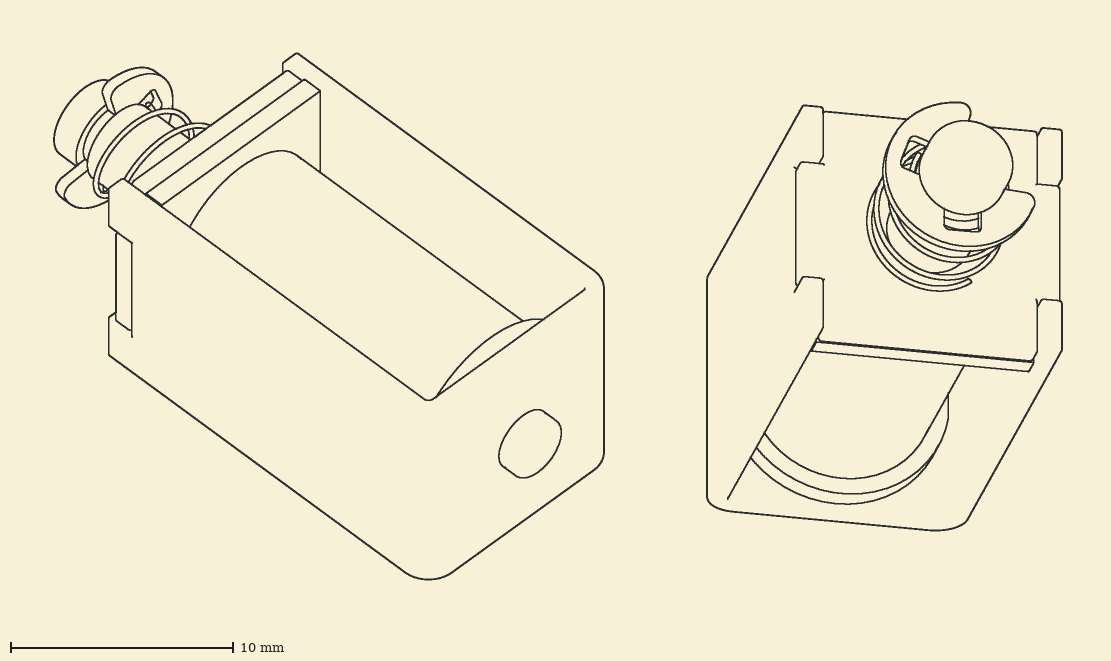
import cadquery as cq
import math


overall_length = 29.0
frame_width = 12.0
frame_height = 11.0
wall = 1.0
edge_radius = 0.15
clearance = 0.05

frame_front = 7.5
core_protrusion = 1.0
frame_rear = overall_length - core_protrusion
frame_inner_rear = frame_rear - wall
frame_inner_width = frame_width - 2 * wall
inner_bend_radius = 0.25
outer_bend_radius = 1.5

plate_front = 8.0
plate_rear = 9.0
plate_front_edge_radius = 0.1
plate_side_edge_radius = 0.17
tab_height = 5.8
slot_height = tab_height + 2 * clearance

front_flange_rear = 10.0
rear_flange_front = 25.9
rear_flange_radius = frame_inner_width / 2
rear_flange_width = frame_inner_width - 2 * clearance
tube_radius = 2.5
coil_radius = 4.25

plunger_radius = 2.0
plunger_rear = 17.98
plunger_tip_radius = 0.12
groove_front = 1.48
groove_rear = 2.2
groove_radius = 1.55
core_neck_radius = 1.55
core_edge_radius = 0.17

clip_front = 1.55
clip_thickness = 0.55
clip_radius = 3.55
clip_opening_direction = 35.5
clip_half_opening = 40.0
clip_opening_apex = 0.58
clip_tip_radius = 0.45
clip_lug_radius = 0.2
notch_width = 1.7
notch_reach = 2.78
notch_corner_radius = 0.25
notch_angle_from_opening = 125.0

wire_radius = 0.12
spring_first_quarter = -0.35
spring_last_quarter = 13.4
spring_origin = 2.35
spring_small_radius = 2.15
spring_large_radius = 2.95
taper_quarters = 5.8
steepest_quarter = 4.5
steepest_advance = 0.45
advance_loss = 0.0035
points_per_quarter = 4


def rod(start, end, radius):
    """Cylinder on the X axis."""
    return cq.Workplane("YZ", origin=(start, 0, 0)).circle(radius).extrude(end - start)


def block(start, end, width, height):
    """Box centred on the X axis."""
    return cq.Workplane("YZ", origin=(start, 0, 0)).rect(width, height).extrude(end - start)


def make_frame():
    """U-shaped strap with a slot in each leg for the front plate and a rear hole for the core."""
    outer = block(frame_front, frame_rear, frame_width, frame_height)
    outer = outer.edges("|Z and >X").fillet(outer_bend_radius)
    inner = block(frame_front, frame_inner_rear, frame_inner_width, frame_height)
    inner = inner.edges("|Z and >X").fillet(inner_bend_radius)
    slots = block(frame_front, plate_rear, frame_width, slot_height)
    strap = outer.cut(inner).cut(slots)

    leg_end_edges = strap.faces("<X").edges()
    rim_edges = strap.faces("<Z or >Z").edges()
    slot_side_edges = strap.edges("|X").filter(
        lambda edge: abs(abs(edge.Center().z) - slot_height / 2) < clearance
    )
    slot_floor_edges = strap.edges("|Z").filter(
        lambda edge: abs(edge.Center().x - plate_rear) < clearance
    )
    rounded = leg_end_edges.add(rim_edges).add(slot_side_edges).add(slot_floor_edges)
    strap = rounded.fillet(edge_radius)
    return strap.cut(rod(frame_inner_rear, frame_rear, core_neck_radius))


def make_front_plate():
    """Plate between the frame legs, with a tab on each side in the leg slot."""
    body = block(plate_front, plate_rear, frame_inner_width - 2 * clearance, frame_height)
    tabs = block(plate_front, plate_rear, frame_width, tab_height)
    plate = body.union(tabs)
    outer_corners = plate.edges("|X").filter(
        lambda edge: abs(edge.Center().y) > frame_inner_width / 2
        or abs(edge.Center().z) > tab_height / 2 + clearance
    )
    plate = outer_corners.fillet(plate_side_edge_radius)
    plate = plate.faces(">X").edges().fillet(plate_side_edge_radius)
    plate = plate.faces("<X").edges().fillet(plate_front_edge_radius)
    return plate.cut(rod(plate_front, plate_rear, plunger_radius))


def make_bobbin():
    """Tube with a rectangular front flange and a round rear flange with flat sides."""
    front_flange = block(plate_rear, front_flange_rear, frame_inner_width, frame_height)
    tube = rod(plate_rear, frame_inner_rear, tube_radius)
    rear_flange = rod(rear_flange_front, frame_inner_rear, rear_flange_radius)
    envelope = block(rear_flange_front, frame_inner_rear, rear_flange_width, frame_height)
    envelope = envelope.edges("|Z and >X").fillet(inner_bend_radius)
    rear_flange = rear_flange.intersect(envelope)
    bore = rod(plate_rear, frame_inner_rear, plunger_radius)
    return front_flange.union(tube).union(rear_flange).cut(bore)


def make_coil():
    """Winding that fills the bobbin between its flanges."""
    winding = rod(front_flange_rear, rear_flange_front, coil_radius)
    return winding.cut(rod(front_flange_rear, rear_flange_front, tube_radius))


def make_plunger():
    """Sliding rod with a groove for the retaining clip."""
    shaft = rod(0, plunger_rear, plunger_radius).faces("<X").edges().fillet(plunger_tip_radius)
    groove = rod(groove_front, groove_rear, plunger_radius).cut(
        rod(groove_front, groove_rear, groove_radius)
    )
    return shaft.cut(groove)


def make_core():
    """Fixed stop behind the plunger, with a neck through the rear of the frame."""
    body = rod(plunger_rear, frame_inner_rear, plunger_radius)
    neck = rod(frame_inner_rear, overall_length, core_neck_radius)
    neck = neck.faces(">X").edges().fillet(core_edge_radius)
    return body.union(neck)


def make_clip():
    """E-clip in the plunger groove, shaped with its opening toward -Y and then turned."""
    disc = cq.Workplane("YZ").circle(clip_radius).circle(groove_radius).extrude(clip_thickness)
    opening_end = -2 * clip_radius
    opening_half_width = (clip_opening_apex - opening_end) * math.tan(math.radians(clip_half_opening))
    opening = (
        cq.Workplane("YZ")
        .moveTo(clip_opening_apex, 0)
        .lineTo(opening_end, opening_half_width)
        .lineTo(opening_end, -opening_half_width)
        .close()
        .extrude(clip_thickness)
    )
    clip = disc.cut(opening)
    lug_corners = clip.edges("|X").filter(
        lambda edge: math.hypot(edge.Center().y, edge.Center().z) < plunger_radius
        and abs(edge.Center().z) > clearance
    )
    clip = lug_corners.fillet(clip_lug_radius)
    clip = clip.edges("|X and <Y").fillet(clip_tip_radius)

    for side in (-1, 1):
        notch = (
            cq.Workplane("YZ")
            .center(-notch_reach / 2, 0)
            .rect(notch_reach, notch_width)
            .extrude(clip_thickness)
            .edges("|X and <Y")
            .fillet(notch_corner_radius)
            .rotate((0, 0, 0), (1, 0, 0), side * notch_angle_from_opening)
        )
        clip = clip.cut(notch)

    clip = clip.rotate((0, 0, 0), (1, 0, 0), -clip_opening_direction)
    return clip.translate((clip_front, 0, 0))


def spring_point(quarter):
    """Wire centre after a number of quarter turns, which run from +Y through -Z.

    The advance per quarter turn is greatest at the steepest quarter and falls off with the
    square of the distance from it. The radius grows evenly until the taper ends.
    """
    from_steepest = quarter - steepest_quarter
    lag = advance_loss * (from_steepest**3 + steepest_quarter**3) / 3
    along = spring_origin + steepest_advance * quarter - lag
    taper = min(max(1 - quarter / taper_quarters, 0), 1)
    radius = spring_large_radius - (spring_large_radius - spring_small_radius) * taper
    angle = -quarter * math.pi / 2
    return cq.Vector(along, radius * math.cos(angle), radius * math.sin(angle))


def make_spring():
    """Conical return spring between the clip and the front plate."""
    steps = round((spring_last_quarter - spring_first_quarter) * points_per_quarter)
    quarter_step = (spring_last_quarter - spring_first_quarter) / steps
    points = [spring_point(spring_first_quarter + i * quarter_step) for i in range(steps + 1)]
    path = cq.Workplane(cq.Edge.makeSpline(points))
    start_plane = cq.Plane(origin=points[0], normal=points[1] - points[0])
    return cq.Workplane(start_plane).circle(wire_radius).sweep(path, isFrenet=True)


frame = make_frame()
front_plate = make_front_plate()
bobbin = make_bobbin()
coil = make_coil()
plunger = make_plunger()
core = make_core()
clip = make_clip()
spring = make_spring()

result = cq.Compound.makeCompound(
    [
        frame.solids().val(),
        front_plate.solids().val(),
        bobbin.solids().val(),
        coil.solids().val(),
        plunger.solids().val(),
        core.solids().val(),
        clip.solids().val(),
        spring.solids().val(),
    ]
)